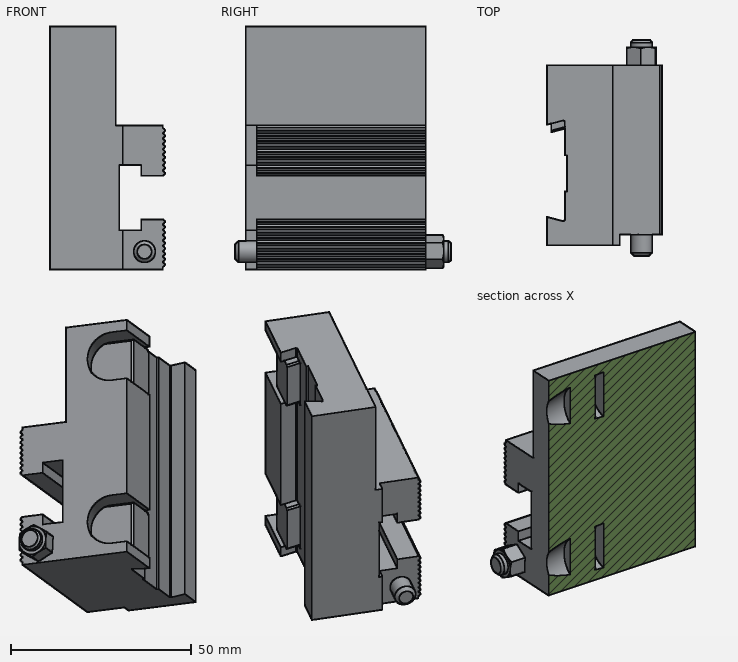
import cadquery as cq
import math

BLOCK_HEIGHT = 67.5
BLOCK_WIDTH = 50.0
PLATE_THICKNESS = 18.3

JAW_REACH = 32.0
JAW_TOP = 40.0
JAW_FRONT = 3.05
FRONT_FLANGE_REACH = 20.25
SLOT_FLOOR = 19.3
SLOT_HEIGHT = 18.0
LIP_START = 25.3
LIP_GAP = 12.1
JAW_MIDDLE = JAW_TOP / 2
TOOTH_PITCH = 1.5
TOOTH_CREST = 0.2
TOOTH_DEPTH = (TOOTH_PITCH - TOOTH_CREST) / 2
TEETH_PER_JAW = 9
FIRST_ROOT = 0.7

DOVETAIL_DEPTH = 5.0
DOVETAIL_ANGLE = 15.0
DOVETAIL_FRONT = 7.95
DOVETAIL_REAR = 33.5
DOVETAIL_CORNER = 0.4
DOVETAIL_UNDERCUT = DOVETAIL_DEPTH * math.tan(math.radians(DOVETAIL_ANGLE))
RELIEF_FRONT = 15.0
RELIEF_REAR = 25.0
RELIEF_DEPTH = 0.55

POCKET_HEIGHT = 14.0
POCKET_MARGIN = 3.05
POCKET_FRONT = 31.4
POCKET_AXIS_DEPTH = 4.6
POCKET_SLOPE = DOVETAIL_ANGLE
POCKET_RADIUS = POCKET_HEIGHT / 2
CLAMP_HEIGHT = 13.6
CLAMP_FACE = 1.2
CLAMP_REAR = 42.7
CLAMP_TIP_CHAMFER = 0.5
CLAMP_REAR_CHAMFER = 0.55

BOLT_X = 26.25
BOLT_Z = 5.0
BOLT_DIAMETER = 6.0
BOLT_FRONT_OVERHANG = 3.0
BOLT_REAR_OVERHANG = 7.0
BOLT_FRONT_CHAMFER = 1.0
BOLT_REAR_CHAMFER = 0.75
BOLT_REAR_TIP_DIAMETER = 4.8
NUT_THICKNESS = 5.0
NUT_FLATS = 8.0
NUT_TURN = 3.0
NUT_CHAMFER_ANGLE = 30.0


def extrude_along_y(outline_points, y_start, y_end):
    """Extrude a closed outline of (x, z) points from y_start to y_end."""
    outline = cq.Workplane("XZ", origin=(0, y_start, 0)).polyline(outline_points).close()
    return outline.extrude(y_start - y_end)


def lower_jaw_outline():
    """Closed outline of the lower jaw, from the plate to the teeth."""
    root_x = JAW_REACH - TOOTH_DEPTH
    lip_z = JAW_MIDDLE - LIP_GAP / 2
    slot_z = JAW_MIDDLE - SLOT_HEIGHT / 2
    points = [(0, 0), (root_x, 0)]
    for tooth in range(TEETH_PER_JAW):
        root_z = FIRST_ROOT + tooth * TOOTH_PITCH
        crest_z = root_z + TOOTH_DEPTH
        points += [(root_x, root_z), (JAW_REACH, crest_z), (JAW_REACH, crest_z + TOOTH_CREST)]
    points.append((JAW_REACH - (lip_z - crest_z - TOOTH_CREST), lip_z))
    points += [(LIP_START, lip_z), (LIP_START, slot_z), (0, slot_z)]
    return points


def make_block():
    plate = cq.Workplane("XY").box(PLATE_THICKNESS, BLOCK_WIDTH, BLOCK_HEIGHT, centered=False)
    flange = cq.Workplane("XY").box(FRONT_FLANGE_REACH, BLOCK_WIDTH, JAW_TOP, centered=False)
    block = plate.union(flange)
    lower = lower_jaw_outline()
    upper = [(x, JAW_TOP - z) for x, z in lower]
    for outline in (lower, upper):
        block = block.union(extrude_along_y(outline, JAW_FRONT, BLOCK_WIDTH))
    slot = (
        cq.Workplane("XY", origin=(SLOT_FLOOR, 0, JAW_MIDDLE - SLOT_HEIGHT / 2))
        .box(LIP_START - SLOT_FLOOR, BLOCK_WIDTH, SLOT_HEIGHT, centered=False)
    )
    return block.cut(slot)


def make_dovetail_groove():
    relief_floor = DOVETAIL_DEPTH + RELIEF_DEPTH
    return (
        cq.Workplane("XY")
        .moveTo(0, DOVETAIL_FRONT)
        .lineTo(DOVETAIL_DEPTH, DOVETAIL_FRONT - DOVETAIL_UNDERCUT)
        .lineTo(DOVETAIL_DEPTH, RELIEF_FRONT)
        .lineTo(relief_floor, RELIEF_FRONT)
        .lineTo(relief_floor, RELIEF_REAR)
        .lineTo(DOVETAIL_DEPTH, RELIEF_REAR)
        .lineTo(DOVETAIL_DEPTH, DOVETAIL_REAR + DOVETAIL_UNDERCUT)
        .lineTo(0, DOVETAIL_REAR)
        .close()
        .extrude(BLOCK_HEIGHT)
        .edges("|Z and (<Y or >Y)")
        .chamfer(DOVETAIL_CORNER)
    )


def make_pocket(middle_z):
    """Slot with a sloping half-round bottom, open to the -X face and the rear."""
    outside_x = -BLOCK_WIDTH
    sloping_slot = (
        cq.Workplane("XZ")
        .moveTo(outside_x, -POCKET_RADIUS)
        .lineTo(0, -POCKET_RADIUS)
        .threePointArc((POCKET_RADIUS, 0), (0, POCKET_RADIUS))
        .lineTo(outside_x, POCKET_RADIUS)
        .close()
        .extrude(BLOCK_WIDTH, both=True)
        .rotate((0, 0, 0), (0, 0, 1), POCKET_SLOPE)
        .translate((POCKET_AXIS_DEPTH, BLOCK_WIDTH, middle_z))
    )
    length = BLOCK_WIDTH - POCKET_FRONT
    bounds = (
        cq.Workplane("XY", origin=(0, POCKET_FRONT, 0))
        .box(PLATE_THICKNESS, length, BLOCK_HEIGHT, centered=False)
    )
    return sloping_slot.intersect(bounds)


def make_clamp(middle_z):
    """Block as deep as the plate, its tip square to the sloping pocket bottom."""
    lean = math.tan(math.radians(POCKET_SLOPE))
    tip_at_bottom = POCKET_FRONT + (PLATE_THICKNESS - CLAMP_FACE) * lean
    clamp = (
        cq.Workplane("XY", origin=(0, 0, middle_z - CLAMP_HEIGHT / 2))
        .moveTo(CLAMP_FACE, POCKET_FRONT)
        .lineTo(PLATE_THICKNESS, tip_at_bottom)
        .lineTo(PLATE_THICKNESS, CLAMP_REAR)
        .lineTo(CLAMP_FACE, CLAMP_REAR)
        .close()
        .extrude(CLAMP_HEIGHT)
    )
    clamp = clamp.faces(">Y").edges("not(>X)").chamfer(CLAMP_REAR_CHAMFER)
    return clamp.faces("<Y").edges("not(|Z)").chamfer(CLAMP_TIP_CHAMFER)


def make_bolt():
    """Round bolt with bevelled ends, running through the lower jaw."""
    radius = BOLT_DIAMETER / 2
    front = -BOLT_FRONT_OVERHANG
    rear = BLOCK_WIDTH + BOLT_REAR_OVERHANG
    profile = [
        (0, front),
        (radius - BOLT_FRONT_CHAMFER, front),
        (radius, front + BOLT_FRONT_CHAMFER),
        (radius, rear - BOLT_REAR_CHAMFER),
        (BOLT_REAR_TIP_DIAMETER / 2, rear),
        (0, rear),
    ]
    bolt = cq.Workplane("XY").polyline(profile).close().revolve(360, (0, 0), (0, 1))
    return bolt.translate((BOLT_X, 0, BOLT_Z))


def make_nut():
    """Hexagon nut whose corners are bevelled by a cone at the outer end."""
    corner_radius = NUT_FLATS / math.sqrt(3)
    flat_radius = NUT_FLATS / 2
    bevel = (corner_radius - flat_radius) * math.tan(math.radians(NUT_CHAMFER_ANGLE))
    hexagon = (
        cq.Workplane("XZ")
        .polygon(6, 2 * corner_radius)
        .extrude(-NUT_THICKNESS)
        .rotate((0, 0, 0), (0, 1, 0), -90 - NUT_TURN)
    )
    cone = (
        cq.Workplane("XY")
        .polyline([
            (0, 0),
            (corner_radius, 0),
            (corner_radius, NUT_THICKNESS - bevel),
            (flat_radius, NUT_THICKNESS),
            (0, NUT_THICKNESS),
        ])
        .close()
        .revolve(360, (0, 0), (0, 1))
    )
    return hexagon.intersect(cone).translate((BOLT_X, BLOCK_WIDTH, BOLT_Z))


result = make_block().cut(make_dovetail_groove())
pocket_offset = POCKET_MARGIN + POCKET_HEIGHT / 2
for pocket_z in (pocket_offset, BLOCK_HEIGHT - pocket_offset):
    pocket = make_pocket(pocket_z)
    clamp = make_clamp(pocket_z).intersect(pocket)
    result = result.cut(pocket).union(clamp)
result = result.union(make_bolt()).union(make_nut())